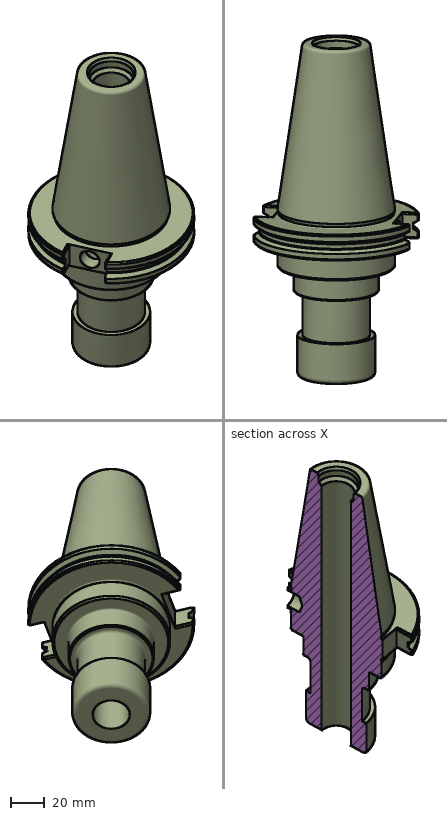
import cadquery as cq
import math


gauge_diameter = 69.85
taper_length = 101.6
taper_ratio = 7 / 24
taper_end_diameter = gauge_diameter - taper_length * taper_ratio
taper_end_fillet = 2.0

relief_depth = 0.7
relief_length = 2.05
corner_fillet = 1.0

flange_diameter = 98.425
flange_top = -3.18
flange_thickness = 15.87
flange_bottom = flange_top - flange_thickness
flange_middle = (flange_top + flange_bottom) / 2
flange_chamfer = 1.0
groove_center = flange_middle
groove_root_diameter = 91.6
groove_root_fillet = 0.6
groove_root_width = 3.4
groove_half_angle = 30

collar_bottom = -34.95
collar_chamfer = 1.2
step_diameter = 50.5
step_bottom = -49.8
step_chamfer = 0.8
neck_diameter = 40.05
neck_fillet = 2.0

body_bottom = -101.6
nut_diameter = 46.4
nut_height = 24.9
nut_rim_diameter = 46.0
nut_rim_height = 1.1
nut_top = body_bottom + nut_height
nut_bottom_radius = 2.9

bore_diameter = 21.96
counterbore_diameter = 26.4
counterbore_depth = 6.4
counterbore_mouth_diameter = 28.6
counterbore_shoulder_height = (counterbore_diameter - bore_diameter) / 2
countersink_half_angle = 30

slot_width = 25.8
slot_edge_chamfer = 1.05
front_slot_floor = 37.3
rear_slot_floor = 35.4
blind_hole_diameter = 12.2
blind_hole_depth = 9.0
blind_hole_tip_half_angle = 70


def make_body():
    """Revolve the outer profile, from the nut up to the end of the taper."""
    gauge_radius = gauge_diameter / 2
    flange_radius = flange_diameter / 2
    relief_radius = gauge_radius - relief_depth
    step_radius = step_diameter / 2
    neck_radius = neck_diameter / 2
    nut_radius = nut_diameter / 2
    taper_end_radius = taper_end_diameter / 2

    profile = (
        cq.Workplane("XZ")
        .moveTo(0, body_bottom)
        .lineTo(nut_radius - nut_bottom_radius, body_bottom)
        .radiusArc((nut_radius, body_bottom + nut_bottom_radius), -nut_bottom_radius)
        .lineTo(nut_radius, nut_top - nut_rim_height)
        .lineTo(nut_rim_diameter / 2, nut_top)
        .lineTo(neck_radius, nut_top)
        .lineTo(neck_radius, step_bottom - neck_fillet)
        .radiusArc((neck_radius + neck_fillet, step_bottom), neck_fillet)
        .lineTo(step_radius - step_chamfer, step_bottom)
        .lineTo(step_radius, step_bottom + step_chamfer)
        .lineTo(step_radius, collar_bottom - corner_fillet)
        .radiusArc((step_radius + corner_fillet, collar_bottom), corner_fillet)
        .lineTo(gauge_radius - collar_chamfer, collar_bottom)
        .lineTo(gauge_radius, collar_bottom + collar_chamfer)
        .lineTo(gauge_radius, flange_bottom - relief_length)
        .lineTo(relief_radius, flange_bottom - corner_fillet)
        .radiusArc((relief_radius + corner_fillet, flange_bottom), corner_fillet)
        .lineTo(flange_radius - flange_chamfer, flange_bottom)
        .lineTo(flange_radius, flange_bottom + flange_chamfer)
        .lineTo(flange_radius, flange_top - flange_chamfer)
        .lineTo(flange_radius - flange_chamfer, flange_top)
        .lineTo(relief_radius + corner_fillet, flange_top)
        .radiusArc((relief_radius, flange_top + corner_fillet), corner_fillet)
        .lineTo(gauge_radius, 0)
        .lineTo(taper_end_radius, taper_length)
        .lineTo(0, taper_length)
        .close()
    )
    body = profile.revolve(360, (0, 0, 0), (0, 1, 0))
    return body.faces(">Z").edges().fillet(taper_end_fillet)


def cut_bore(body):
    """Cut the through bore with its countersunk counterbore at the taper end."""
    bore_radius = bore_diameter / 2
    counterbore_radius = counterbore_diameter / 2
    counterbore_bottom = taper_length - counterbore_depth
    mouth_radius = counterbore_mouth_diameter / 2
    countersink_depth = (mouth_radius - counterbore_radius) / math.tan(math.radians(countersink_half_angle))
    bore = (
        cq.Workplane("XZ")
        .moveTo(0, body_bottom)
        .lineTo(bore_radius, body_bottom)
        .lineTo(bore_radius, counterbore_bottom - counterbore_shoulder_height)
        .lineTo(counterbore_radius, counterbore_bottom)
        .lineTo(counterbore_radius, taper_length - countersink_depth)
        .lineTo(mouth_radius, taper_length)
        .lineTo(0, taper_length)
        .close()
        .revolve(360, (0, 0, 0), (0, 1, 0))
    )
    return body.cut(bore)


def cut_drive_slot(body, floor_distance, side):
    """Cut one drive slot through the flange; side is -1 for -Y and +1 for +Y."""
    slot_depth = flange_diameter / 2 - floor_distance
    slot = cq.Workplane("XY").box(slot_width, slot_depth, flange_thickness).translate(
        (0, side * (floor_distance + slot_depth / 2), flange_middle)
    )
    return body.cut(slot)


def chamfer_slot_walls(body):
    """Chamfer the wall edges of both slots, except where the walls meet the floors."""
    tolerance = 1e-4
    floors = (-front_slot_floor, rear_slot_floor)

    def is_wall_edge(edge):
        box = edge.BoundingBox()
        in_wall = box.xlen < tolerance and abs(abs(box.xmin) - slot_width / 2) < tolerance
        on_floor = box.ylen < tolerance and any(abs(box.ymin - floor) < tolerance for floor in floors)
        return in_wall and not on_floor

    wall_edges = [edge for edge in body.edges().vals() if is_wall_edge(edge)]
    return body.newObject(wall_edges).chamfer(slot_edge_chamfer)


def cut_groove(body):
    """Turn the V groove with its flat, round-cornered root into the flange rim."""
    flange_radius = flange_diameter / 2
    root_radius = groove_root_diameter / 2
    root_half_width = groove_root_width / 2
    flank_height = (flange_radius - root_radius) * math.tan(math.radians(groove_half_angle))
    mouth_half_width = root_half_width + flank_height
    groove = (
        cq.Workplane("XZ")
        .moveTo(flange_radius, groove_center - mouth_half_width)
        .lineTo(root_radius, groove_center - root_half_width)
        .lineTo(root_radius, groove_center + root_half_width)
        .lineTo(flange_radius, groove_center + mouth_half_width)
        .close()
        .revolve(360, (0, 0, 0), (0, 1, 0))
    )
    root_corners = cq.selectors.RadiusNthSelector(0)
    return body.cut(groove.edges(root_corners).fillet(groove_root_fillet))


def cut_blind_hole(body):
    """Drill the blind hole with its conical tip into the floor of the front slot."""
    blind_hole_radius = blind_hole_diameter / 2
    tip_height = blind_hole_radius / math.tan(math.radians(blind_hole_tip_half_angle))
    tip_start = blind_hole_depth - front_slot_floor
    drill = (
        cq.Workplane("XY", origin=(0, 0, flange_middle))
        .moveTo(0, -front_slot_floor)
        .lineTo(blind_hole_radius, -front_slot_floor)
        .lineTo(blind_hole_radius, tip_start)
        .lineTo(0, tip_start + tip_height)
        .close()
        .revolve(360, (0, 0, 0), (0, 1, 0))
    )
    return body.cut(drill)


result = make_body()
result = cut_bore(result)
result = cut_drive_slot(result, front_slot_floor, -1)
result = cut_drive_slot(result, rear_slot_floor, 1)
result = chamfer_slot_walls(result)
result = cut_groove(result)
result = cut_blind_hole(result)